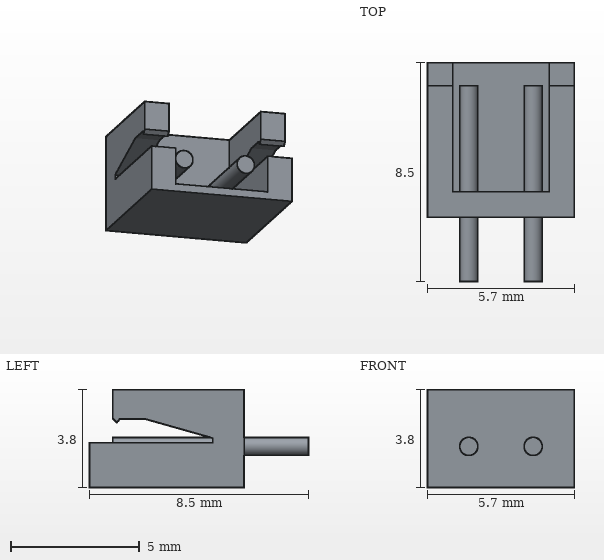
import cadquery as cq

width = 5.7
height = 3.8
total_length = 8.5
tail_length = 2.5
body_length = total_length - tail_length
wall = 0.99
floor_thickness = 0.3

lower_jaw_height = 1.74
upper_jaw_setback = 0.9
upper_jaw_end = body_length - upper_jaw_setback
slot_end = 1.21
slot_end_top = 1.91
ramp_end = 3.85
slot_roof = 2.66
catch_depth = 0.145
catch_tip = upper_jaw_end - 0.16
catch_back = catch_tip - 0.12
catch_front_height = 2.68

pin_diameter = 0.705
pin_spacing = 2.5
pin_height = 1.6


def make_housing():
    """Extrude the side profile, with its tapered slot and small catch, across X."""
    profile = [
        (0, 0),
        (body_length, 0),
        (body_length, lower_jaw_height),
        (slot_end, lower_jaw_height),
        (slot_end, slot_end_top),
        (ramp_end, slot_roof),
        (catch_back, slot_roof),
        (catch_tip, slot_roof - catch_depth),
        (upper_jaw_end, catch_front_height),
        (upper_jaw_end, height),
        (0, height),
    ]
    return cq.Workplane("YZ").polyline(profile).close().extrude(width / 2, both=True)


def make_cavity():
    """Space between the side walls, open at the top and at the mouth."""
    return (
        cq.Workplane("XY")
        .box(
            width - 2 * wall,
            body_length - wall,
            height - floor_thickness,
            centered=(True, False, False),
        )
        .translate((0, wall, floor_thickness))
    )


def make_pin(x):
    """Round pin from the tail end through the back wall to the upper jaw end."""
    return (
        cq.Workplane("XZ", origin=(x, -tail_length, pin_height))
        .circle(pin_diameter / 2)
        .extrude(-(tail_length + upper_jaw_end))
    )


result = make_housing().cut(make_cavity())
for side in (-1, 1):
    result = result.union(make_pin(side * pin_spacing / 2))